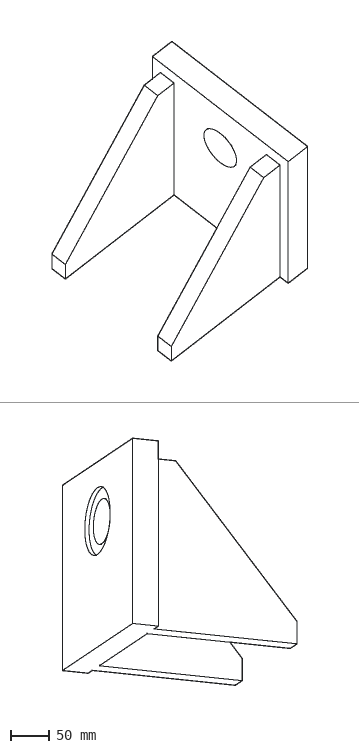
import cadquery as cq

plate_width = 250.0
plate_height = 250.0
plate_thickness = 36.0

hole_diameter = 60.0
hole_below_top = 80.0

recess_diameter = 90.0
recess_depth = 6.0

rib_thickness = 25.0
rib_length = 200.0
rib_side_inset = 15.0
rib_below_top = 20.0
rib_top_flat = 30.0
rib_toe_height = 30.0

rib_height = plate_height - rib_below_top
rib_center_x = plate_width / 2 - rib_side_inset - rib_thickness / 2


def make_cylinder(diameter, start_y, length):
    """Cylinder on the hole axis, running from start_y toward +Y."""
    return (
        cq.Workplane("XZ", origin=(0, start_y, plate_height - hole_below_top))
        .circle(diameter / 2)
        .extrude(-length)
    )


def make_plate():
    """Plate with its front face on Y = 0 and its bottom on Z = 0."""
    plate = cq.Workplane("XY").box(
        plate_width, plate_thickness, plate_height, centered=(True, False, False)
    )
    hole = make_cylinder(hole_diameter, 0, plate_thickness)
    recess = make_cylinder(recess_diameter, plate_thickness - recess_depth, recess_depth)
    return plate.cut(hole).cut(recess)


def make_rib(center_x):
    """Rib with a short flat top, a sloping front edge and a blunt toe."""
    outline = [
        (0, 0),
        (0, rib_height),
        (-rib_top_flat, rib_height),
        (-rib_length, rib_toe_height),
        (-rib_length, 0),
    ]
    return (
        cq.Workplane("YZ", origin=(center_x, 0, 0))
        .polyline(outline)
        .close()
        .extrude(rib_thickness / 2, both=True)
    )


result = make_plate()
for rib_x in (-rib_center_x, rib_center_x):
    result = result.union(make_rib(rib_x))